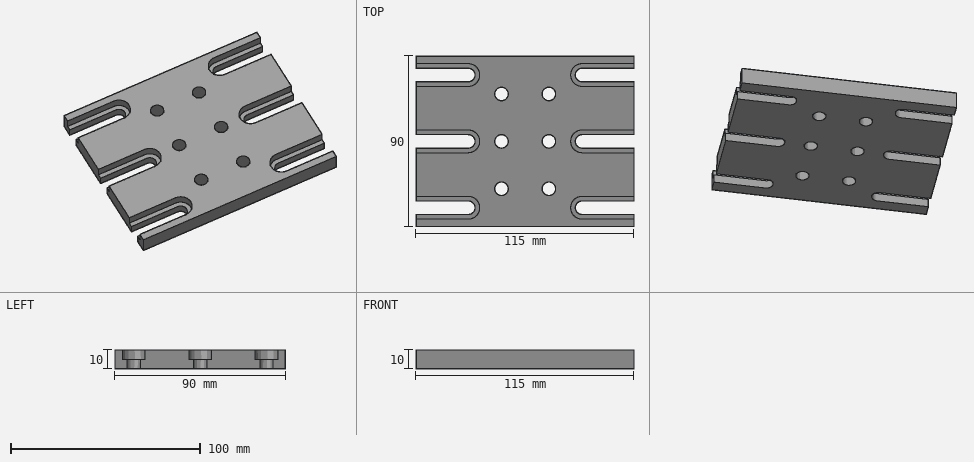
import cadquery as cq

plate_length = 115.0
plate_width = 90.0
plate_thickness = 10.0

slot_pitch = 35.0
slot_reach = 27.5
slot_width = 7.0
slot_step_width = 12.0
slot_step_depth = 5.0

hole_diameter = 7.0
hole_pitch = 25.0
hole_columns = 2
hole_rows = 3


def open_slot(side, y, width, depth):
    """Cutter sunk from the top face: open at one plate end, round at the inner end."""
    edge_x = side * plate_length / 2
    center_x = edge_x - side * slot_reach
    tip_x = center_x - side * width / 2
    return (
        cq.Workplane("XY", origin=(0, 0, plate_thickness - depth))
        .moveTo(edge_x, y - width / 2)
        .lineTo(center_x, y - width / 2)
        .threePointArc((tip_x, y), (center_x, y + width / 2))
        .lineTo(edge_x, y + width / 2)
        .close()
        .extrude(depth)
    )


result = cq.Workplane("XY").box(plate_length, plate_width, plate_thickness, centered=(True, True, False))

for side in (-1, 1):
    for y in (-slot_pitch, 0, slot_pitch):
        result = result.cut(open_slot(side, y, slot_width, plate_thickness))
        result = result.cut(open_slot(side, y, slot_step_width, slot_step_depth))

result = (
    result.faces(">Z")
    .workplane(origin=(0, 0, plate_thickness))
    .rarray(hole_pitch, hole_pitch, hole_columns, hole_rows)
    .hole(hole_diameter)
)